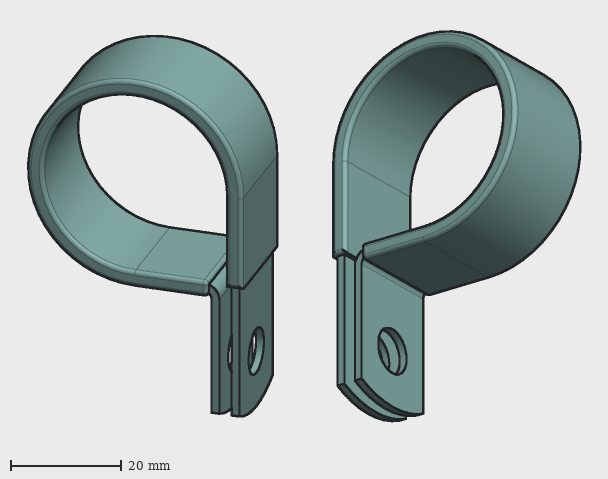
import cadquery as cq
import math

total_height = 66.6
loop_radius = 20.6
cushion_width = 20.65
strap_thickness = 1.5
cushion_cover = 0.8
upright_end_z = -18.2
shelf_end_x = 13.9

tab_face_x = 15.9
bend_inner_radius = 1.3
tab_end_sag = 2.1
hole_diameter = 8.7
hole_to_tab_end = 11.05

cushion_thickness = strap_thickness + 2 * cushion_cover
strap_width = cushion_width - 2 * cushion_cover
strap_outer_radius = loop_radius - cushion_cover
tab_end_z = loop_radius - total_height
hole_z = tab_end_z + hole_to_tab_end


def band(outer_radius, thickness, end_x, end_z, width):
    """Three-quarter loop with a straight run at each end, centred on Y."""
    inner_radius = outer_radius - thickness
    outer_mid = -outer_radius * math.sqrt(0.5)
    inner_mid = -inner_radius * math.sqrt(0.5)
    return (
        cq.Workplane("XZ")
        .moveTo(outer_radius, end_z)
        .lineTo(outer_radius, 0)
        .threePointArc((outer_mid, -outer_mid), (0, -outer_radius))
        .lineTo(end_x, -outer_radius)
        .lineTo(end_x, -inner_radius)
        .lineTo(0, -inner_radius)
        .threePointArc((inner_mid, -inner_mid), (inner_radius, 0))
        .lineTo(inner_radius, end_z)
        .close()
        .extrude(width / 2, both=True)
    )


def make_cushion():
    body = band(loop_radius, cushion_thickness, shelf_end_x, upright_end_z, cushion_width)
    side_edges = body.faces("<Y or >Y").edges()
    upright_end_edges = body.faces("<Z").edges("|Y")
    shelf_end_edges = body.edges(
        cq.selectors.BoxSelector(
            (shelf_end_x - cushion_cover, -cushion_width, -loop_radius - cushion_cover),
            (shelf_end_x + cushion_cover, cushion_width, cushion_thickness - loop_radius + cushion_cover),
        )
    ).edges("|Y")
    rounded_edges = side_edges.add(upright_end_edges).add(shelf_end_edges)
    return rounded_edges.fillet(cushion_cover)


def make_strap():
    bend_outer_radius = bend_inner_radius + strap_thickness
    bend_x = tab_face_x - bend_outer_radius
    bend_z = -strap_outer_radius - bend_inner_radius
    diagonal = math.sqrt(0.5)

    loop = band(strap_outer_radius, strap_thickness, bend_x, tab_end_z, strap_width)
    bent_tab = (
        cq.Workplane("XZ")
        .moveTo(bend_x, bend_z + bend_outer_radius)
        .threePointArc(
            (bend_x + bend_outer_radius * diagonal, bend_z + bend_outer_radius * diagonal),
            (tab_face_x, bend_z),
        )
        .lineTo(tab_face_x, tab_end_z)
        .lineTo(tab_face_x - strap_thickness, tab_end_z)
        .lineTo(tab_face_x - strap_thickness, bend_z)
        .threePointArc(
            (bend_x + bend_inner_radius * diagonal, bend_z + bend_inner_radius * diagonal),
            (bend_x, bend_z + bend_inner_radius),
        )
        .close()
        .extrude(strap_width / 2, both=True)
    )

    tab_outline = (
        cq.Workplane("YZ")
        .moveTo(-strap_width / 2, loop_radius)
        .lineTo(-strap_width / 2, tab_end_z + tab_end_sag)
        .threePointArc((0, tab_end_z), (strap_width / 2, tab_end_z + tab_end_sag))
        .lineTo(strap_width / 2, loop_radius)
        .close()
        .extrude(loop_radius, both=True)
    )
    bolt_hole = (
        cq.Workplane("YZ")
        .center(0, hole_z)
        .circle(hole_diameter / 2)
        .extrude(loop_radius)
    )
    return loop.union(bent_tab).intersect(tab_outline).cut(bolt_hole)


result = make_cushion().union(make_strap())